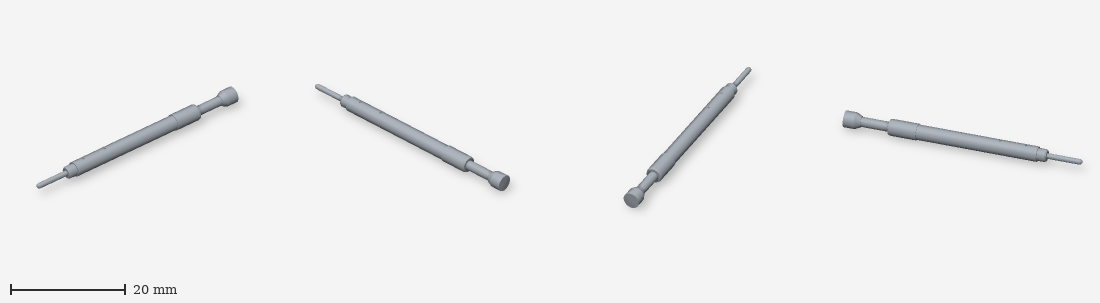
import cadquery as cq

LENGTH = 43.3

HEAD_DIA = 3.0
HEAD_NECK_DIA = 2.0
PLUNGER_DIA = 1.78
COLLAR_DIA = 3.0
BARREL_DIA = 2.73
NOSE_DIA = 2.3
PIN_DIA = 1.0

HEAD_CYLINDER = 2.0
HEAD_CONE = 1.05
PLUNGER_LENGTH = 5.1
COLLAR_LENGTH = 5.1
BARREL_LENGTH = 21.95
NOSE_LENGTH = 1.7

COLLAR_CHAMFER = (0.4, 0.15)
NOSE_CHAMFER = (0.25, 0.17)
TIP_HEIGHT = 0.48

DIMPLE_DIA = 0.45
DIMPLE_DEPTH = 0.15
DIMPLE_POSITIONS = (28.35, 33.1)

head_end = LENGTH / 2
cone_start = head_end - HEAD_CYLINDER
cone_end = cone_start - HEAD_CONE
collar_start = cone_end - PLUNGER_LENGTH
barrel_start = collar_start - COLLAR_LENGTH
nose_start = barrel_start - BARREL_LENGTH
nose_end = nose_start - NOSE_LENGTH
tip_end = -LENGTH / 2


def turned_body():
    """Revolve the half outline, drawn as (radius, Y) from the head to the tip."""
    collar_drop, collar_inset = COLLAR_CHAMFER
    nose_drop, nose_inset = NOSE_CHAMFER
    tip_start = tip_end + TIP_HEIGHT
    pin_radius = PIN_DIA / 2
    tip_sphere = (pin_radius**2 + TIP_HEIGHT**2) / (2 * TIP_HEIGHT)
    arc_mid_radius = pin_radius / 2
    arc_mid_y = tip_end + tip_sphere - (tip_sphere**2 - arc_mid_radius**2) ** 0.5

    outline = (
        cq.Workplane("XY")
        .moveTo(0, head_end)
        .lineTo(HEAD_DIA / 2, head_end)
        .lineTo(HEAD_DIA / 2, cone_start)
        .lineTo(HEAD_NECK_DIA / 2, cone_end)
        .lineTo(PLUNGER_DIA / 2, cone_end)
        .lineTo(PLUNGER_DIA / 2, collar_start)
        .lineTo(COLLAR_DIA / 2 - collar_inset, collar_start)
        .lineTo(COLLAR_DIA / 2, collar_start - collar_drop)
        .lineTo(COLLAR_DIA / 2, barrel_start)
        .lineTo(BARREL_DIA / 2, barrel_start)
        .lineTo(BARREL_DIA / 2, nose_start)
        .lineTo(NOSE_DIA / 2, nose_start)
        .lineTo(NOSE_DIA / 2, nose_end + nose_drop)
        .lineTo(NOSE_DIA / 2 - nose_inset, nose_end)
        .lineTo(pin_radius, nose_end)
        .lineTo(pin_radius, tip_start)
        .threePointArc((arc_mid_radius, arc_mid_y), (0, tip_end))
        .close()
    )
    return outline.revolve(360, (0, 0), (0, 1))


def dimple(distance_from_head):
    """Round blind hole cutter entering the barrel from +Z."""
    return (
        cq.Workplane("XY")
        .workplane(offset=BARREL_DIA / 2 - DIMPLE_DEPTH)
        .center(0, head_end - distance_from_head)
        .circle(DIMPLE_DIA / 2)
        .extrude(2 * DIMPLE_DEPTH)
    )


result = turned_body()
for position in DIMPLE_POSITIONS:
    result = result.cut(dimple(position))